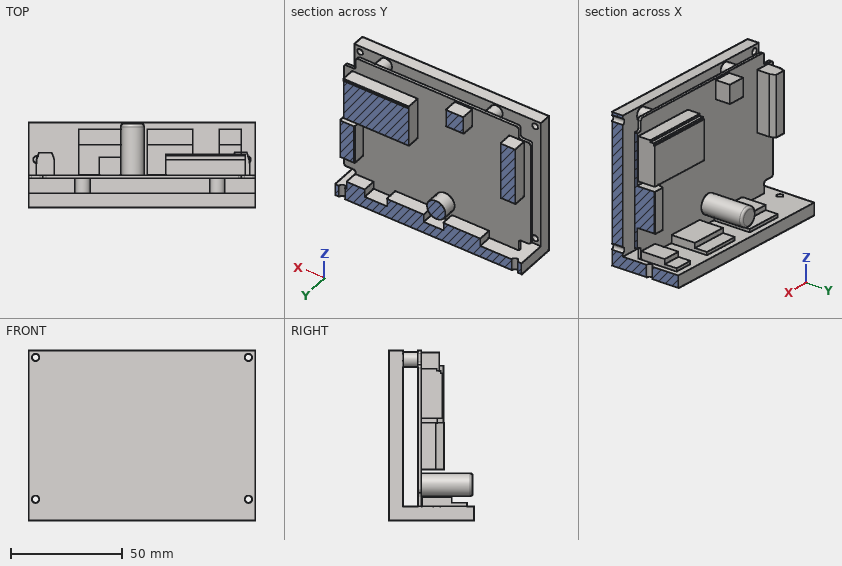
import cadquery as cq

WIDTH = 101.6
DEPTH = 38.1
HEIGHT = 76.2
PLATE = 6.4
HOLE_DIA = 3.1

WALL_HOLE_EDGE = 3.1
WALL_HOLE_PITCH_Z = 63.5
BASE_HOLE_X = 47.0
BASE_HOLE_Y = 21.4

POST_LENGTH = 6.6
POST_DIA = 6.8
POST_XS = (-26.6, 33.6)
POST_Z = 72.1
BOARD_THICKNESS = 1.5
BOARD_BACK_Y = PLATE + POST_LENGTH
BOARD_FACE_Y = BOARD_BACK_Y + BOARD_THICKNESS
BOARD_TAB_HALF = 44.4
BOARD_TOP_STEP_Z = 69.8
BOARD_LOW_STEP_Z = 12.5
BOARD_CORNER_R = 1.3

CAP_DIA = 10.4
CAP_X = -4.3
CAP_Z = 16.1
CAP_LENGTH = 23.0
CAP_EDGE_R = 1.2

TERMINALS = ((-28.3, 20.2), (2.4, 20.2), (34.5, 10.0))
TERMINAL_GAP = 0.2
TERMINAL_LENGTH = 20.2
TERMINAL_BODY_LENGTH = 13.4
TERMINAL_HEIGHT = 4.2
TERMINAL_LIP_HEIGHT = 1.6

CONNECTOR_WIDTH = 8.0
CONNECTORS = (
    (-43.3, 38.3, 31.1, 10.0, 7.0, 1.1),
    (44.2, 22.9, 20.9, 10.2, 6.4, 1.3),
)

MODULE_X = 10.7
MODULE_WIDTH = 35.7
MODULE_BOTTOM_Z = 45.7
MODULE_HEIGHT = 22.4
MODULE_RISES = (6.9, 8.7, 9.3)
MODULE_SETBACK = 1.0

HEADER_X = -19.1
HEADER_SIZE = 9.5
HEADER_TOP_Z = 75.3
HEADER_RISE = 8.0


def block(x, y, z, width, depth, height):
    """Box placed by its lowest-coordinate corner."""
    return cq.Workplane("XY").box(width, depth, height, centered=False).translate((x, y, z))


def rod(x, y, z, diameter, length):
    """Cylinder running along +Y from the given start point."""
    return cq.Workplane(cq.Solid.makeCylinder(diameter / 2, length, cq.Vector(x, y, z), cq.Vector(0, 1, 0)))


def make_bracket():
    """L-shaped bracket with four wall holes and two base holes."""
    bracket = block(-WIDTH / 2, 0, 0, WIDTH, PLATE, HEIGHT)
    bracket = bracket.union(block(-WIDTH / 2, 0, 0, WIDTH, DEPTH, PLATE))
    hole_x = WIDTH / 2 - WALL_HOLE_EDGE
    top_hole_z = HEIGHT - WALL_HOLE_EDGE
    for side in (-1, 1):
        for z in (top_hole_z, top_hole_z - WALL_HOLE_PITCH_Z):
            bracket = bracket.cut(rod(side * hole_x, 0, z, HOLE_DIA, PLATE))
        base_hole = cq.Workplane("XY").center(side * BASE_HOLE_X, BASE_HOLE_Y).circle(HOLE_DIA / 2)
        bracket = bracket.cut(base_hole.extrude(PLATE))
    return bracket


def make_board():
    """Board with stepped, rounded corners; its lower tab rests on the base."""
    wide = block(
        -WIDTH / 2, BOARD_BACK_Y, BOARD_LOW_STEP_Z,
        WIDTH, BOARD_THICKNESS, BOARD_TOP_STEP_Z - BOARD_LOW_STEP_Z,
    )
    tall = block(
        -BOARD_TAB_HALF, BOARD_BACK_Y, PLATE,
        2 * BOARD_TAB_HALF, BOARD_THICKNESS, HEIGHT - PLATE,
    )
    return wide.union(tall).edges("|Y").edges("not <Z").fillet(BOARD_CORNER_R)


def make_capacitor():
    return rod(CAP_X, BOARD_FACE_Y, CAP_Z, CAP_DIA, CAP_LENGTH).faces(">Y").edges().fillet(CAP_EDGE_R)


def make_terminal(x, width):
    start_y = BOARD_FACE_Y + TERMINAL_GAP
    body = block(x, start_y, PLATE, width, TERMINAL_BODY_LENGTH, TERMINAL_HEIGHT)
    return body.union(block(x, start_y, PLATE, width, TERMINAL_LENGTH, TERMINAL_LIP_HEIGHT))


def make_connector(x, z, length, rise, taper_start, inset):
    half = CONNECTOR_WIDTH / 2
    outline = [
        (-half, 0),
        (half, 0),
        (half, taper_start),
        (half - inset, rise),
        (inset - half, rise),
        (-half, taper_start),
    ]
    return cq.Workplane("XY").polyline(outline).close().extrude(length).translate((x, BOARD_FACE_Y, z))


def make_module():
    module = cq.Workplane("XY")
    for layer, rise in enumerate(MODULE_RISES):
        height = MODULE_HEIGHT - layer * MODULE_SETBACK
        module = module.union(block(MODULE_X, BOARD_FACE_Y, MODULE_BOTTOM_Z, MODULE_WIDTH, rise, height))
    return module


def make_header():
    return block(
        HEADER_X, BOARD_FACE_Y, HEADER_TOP_Z - HEADER_SIZE,
        HEADER_SIZE, HEADER_RISE, HEADER_SIZE,
    )


result = make_bracket().union(make_board())
for post_x in POST_XS:
    result = result.union(rod(post_x, PLATE, POST_Z, POST_DIA, POST_LENGTH))
for terminal in TERMINALS:
    result = result.union(make_terminal(*terminal))
for connector in CONNECTORS:
    result = result.union(make_connector(*connector))
result = result.union(make_capacitor()).union(make_module()).union(make_header())